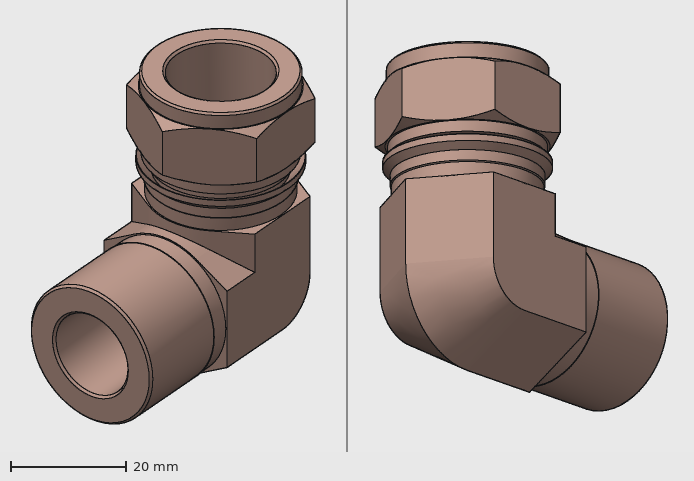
import cadquery as cq
import math

COS30 = math.cos(math.radians(30))
TAN30 = math.tan(math.radians(30))

total_height = 55.65
total_depth = 53.3
body_flats = 27.05
nut_flats = 28.6

body_corner = body_flats / 2 / COS30
nut_corner = nut_flats / 2 / COS30
arm_length = body_corner
top_z = total_height - body_corner
pipe_end = total_depth - nut_corner

neck_dia = 26.5
neck_height = 2.5
step_height = 0.2
band_dia = 26.9
band_top = 20.25
flange_dia = 29.5
flange_base = 21.5
flange_top = 22.7
groove_dia = 25.4
groove_top = 23.5
ring_dia = 27.8
undercut_dia = 24.2
undercut_top = 21.8
rim_width = 0.1
hollow_depth = flange_dia / 2 - rim_width - undercut_dia / 2
nut_base = 25.55
nut_top = 36.95
collar_dia = 28.2
collar_chamfer = 0.4
nut_corner_drop = (nut_corner - nut_flats / 2) * TAN30

pipe_neck_dia = 26.5
pipe_neck_length = 3.4
pipe_dia = 26.7
pipe_chamfer = 0.45

top_bore_dia = 19.25
pipe_bore_dia = 15.75
bore_chamfer = 0.45


def turned(profile):
    """Solid of revolution about Z from (radius, height) points, closed through the axis."""
    points = [(0, profile[0][1])] + profile + [(0, profile[-1][1])]
    return cq.Workplane("XZ").polyline(points).close().revolve(360, (0, 0), (0, 1))


def along_pipe(shape):
    """Turn a shape built on the +Z axis onto the -Y axis."""
    return shape.rotate((0, 0, 0), (1, 0, 0), 90)


def outer_half_section():
    """Half hexagon on the +Y side, in the XY plane."""
    half = body_flats / 2
    points = [(-half, 0), (half, 0), (half, body_corner / 2), (0, body_corner), (-half, body_corner / 2)]
    return cq.Workplane("XY").polyline(points).close()


def upright_arm():
    """Hexagonal arm whose inner (-Y) corner is rounded to the inscribed circle."""
    half = body_flats / 2
    tangent_x = half / 2
    tangent_y = half * COS30
    inner_half = (
        cq.Workplane("XY")
        .moveTo(-half, 0)
        .lineTo(-half, -body_corner / 2)
        .lineTo(-tangent_x, -tangent_y)
        .threePointArc((0, -half), (tangent_x, -tangent_y))
        .lineTo(half, -body_corner / 2)
        .lineTo(half, 0)
        .close()
        .extrude(arm_length)
    )
    return outer_half_section().extrude(arm_length).union(inner_half)


def elbow():
    """Two mirror-image arms joined by a quarter-turn of the outer half section."""
    upright = upright_arm()
    horizontal = upright.mirror("XY").rotate((0, 0, 0), (1, 0, 0), -90)
    bend = outer_half_section().revolve(90, (0, 0), (-1, 0))
    return upright.union(horizontal).union(bend)


def upright_stack():
    """Turned neck, band, hollow-topped flange, groove and ring below the nut, and the collar above it."""
    neck_top = arm_length + neck_height
    return turned([
        (neck_dia / 2, arm_length),
        (neck_dia / 2, neck_top),
        (band_dia / 2, neck_top + step_height),
        (band_dia / 2, band_top),
        (flange_dia / 2, flange_base),
        (flange_dia / 2, flange_top),
        (flange_dia / 2 - rim_width, flange_top),
        (undercut_dia / 2, flange_top - hollow_depth),
        (undercut_dia / 2, undercut_top),
        (groove_dia / 2, undercut_top),
        (groove_dia / 2, groove_top),
        (ring_dia / 2, groove_top),
        (ring_dia / 2, nut_base),
        (collar_dia / 2, nut_base),
        (collar_dia / 2, top_z - collar_chamfer),
        (collar_dia / 2 - collar_chamfer, top_z),
    ])


def nut():
    """Hexagon with corners toward +Y and -Y, its ends cut by 30 degree cones."""
    hexagon = (
        cq.Workplane("XY", origin=(0, 0, nut_base))
        .transformed(rotate=(0, 0, 90))
        .polygon(6, 2 * nut_corner)
        .extrude(nut_top - nut_base)
    )
    envelope = turned([
        (nut_flats / 2, nut_base),
        (nut_corner, nut_base + nut_corner_drop),
        (nut_corner, nut_top - nut_corner_drop),
        (nut_flats / 2, nut_top),
    ])
    return hexagon.intersect(envelope)


def pipe():
    """Plain pipe end with a slightly thinner neck next to the elbow."""
    neck_end = arm_length + pipe_neck_length
    return along_pipe(turned([
        (pipe_neck_dia / 2, arm_length),
        (pipe_neck_dia / 2, neck_end),
        (pipe_dia / 2, neck_end),
        (pipe_dia / 2, pipe_end - pipe_chamfer),
        (pipe_dia / 2 - pipe_chamfer, pipe_end),
    ]))


def bore(diameter, mouth):
    """Blind bore from the arm shoulder up to a chamfered mouth."""
    return turned([
        (diameter / 2, arm_length),
        (diameter / 2, mouth - bore_chamfer),
        (diameter / 2 + bore_chamfer, mouth),
    ])


result = elbow().union(upright_stack()).union(nut()).union(pipe())
result = result.cut(bore(top_bore_dia, top_z))
result = result.cut(along_pipe(bore(pipe_bore_dia, pipe_end)))